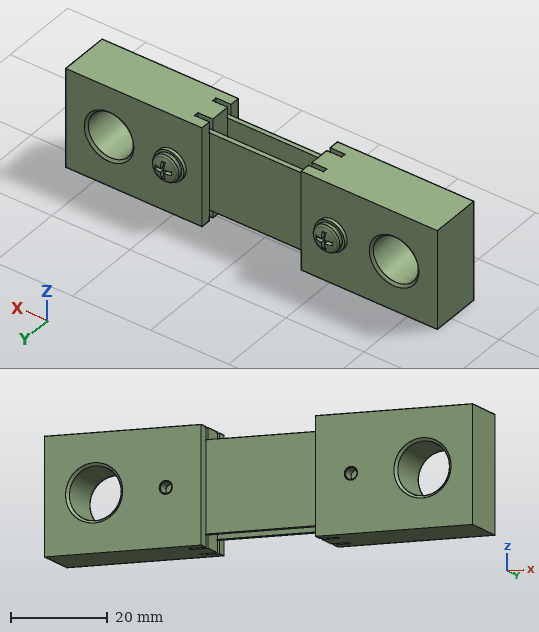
import cadquery as cq

overall_length = 95.25
block_length = 34.925
block_depth = 12.7
block_height = 25.4

terminal_hole_diameter = 11.5
terminal_hole_chamfer = 0.6
terminal_hole_from_outer_end = 11.1

strip_thickness = 1.19
strip_height = 19.84
strip_insertion = 3.81
strip_pitch = block_depth / 2

screw_from_inner_end = 7.9
screw_diameter = 2.5
screw_hole_chamfer = 0.2
screw_tip_recess = 3.2
washer_diameter = 7.75
washer_thickness = 0.87

head_diameter = 6.82
head_underside_diameter = 6.6
head_lower_bevel_top = 0.47
head_cylinder_top = 1.03
dome_base_diameter = 6.0
dome_base_height = 1.43
dome_apex_height = 2.34

cross_width = 0.86
cross_length = 4.2
cross_depth = 1.2

gap = overall_length - 2 * block_length
block_center_x = (gap + block_length) / 2
terminal_hole_x = overall_length / 2 - terminal_hole_from_outer_end
screw_x = gap / 2 + screw_from_inner_end
strip_length = gap + 2 * strip_insertion
front_y = -block_depth / 2
back_y = block_depth / 2
screw_tip_y = front_y + screw_tip_recess
head_seat_y = back_y + washer_thickness
head_apex_y = head_seat_y + dome_apex_height
sides = (-1, 1)


def cylinder_along_y(x, diameter, start_y, end_y):
    """Cylinder on the mid-height line at x, running from start_y to end_y."""
    circle = cq.Workplane("XZ", origin=(x, start_y, 0)).circle(diameter / 2)
    return circle.extrude(start_y - end_y)


def make_strip(side):
    """Flat resistor strip bridging the two blocks; side picks the front or back one."""
    strip = cq.Workplane("XY").box(strip_length, strip_thickness, strip_height)
    return strip.translate((0, side * strip_pitch / 2, 0))


def make_chamfered_hole(x, diameter, chamfer):
    """Cutter for a through hole at x, flared at both faces of the block."""
    radius = diameter / 2
    mouth_radius = radius + chamfer
    profile = (
        cq.Workplane("XY")
        .moveTo(0, front_y)
        .lineTo(mouth_radius, front_y)
        .lineTo(radius, front_y + chamfer)
        .lineTo(radius, back_y - chamfer)
        .lineTo(mouth_radius, back_y)
        .lineTo(0, back_y)
        .close()
    )
    cutter = profile.revolve(360, (0, 0, 0), (0, 1, 0))
    return cutter.translate((x, 0, 0))


def make_block(side):
    """Terminal block with its terminal hole, screw hole and full-height strip slots."""
    block = cq.Workplane("XY").box(block_length, block_depth, block_height)
    block = block.translate((side * block_center_x, 0, 0))
    block = block.cut(
        make_chamfered_hole(side * terminal_hole_x, terminal_hole_diameter, terminal_hole_chamfer)
    )
    block = block.cut(make_chamfered_hole(side * screw_x, screw_diameter, screw_hole_chamfer))
    for strip_side in sides:
        slot = cq.Workplane("XY").box(strip_length, strip_thickness, block_height)
        block = block.cut(slot.translate((0, strip_side * strip_pitch / 2, 0)))
    return block


def make_washer(side):
    """Flat washer between the back of the block and the screw head."""
    disc = cylinder_along_y(side * screw_x, washer_diameter, back_y, head_seat_y)
    return disc.cut(cylinder_along_y(side * screw_x, screw_diameter, back_y, head_seat_y))


def make_screw(side):
    """Domed pan-head screw with a cross recess, its shank ending short of the front face."""
    shank_radius = screw_diameter / 2
    head_radius = head_diameter / 2
    underside_radius = head_underside_diameter / 2
    dome_base_radius = dome_base_diameter / 2
    dome_height = dome_apex_height - dome_base_height
    dome_radius = (dome_base_radius**2 + dome_height**2) / (2 * dome_height)
    dome_mid_x = dome_base_radius / 2
    dome_mid_y = head_apex_y - dome_radius + (dome_radius**2 - dome_mid_x**2) ** 0.5

    profile = (
        cq.Workplane("XY")
        .moveTo(0, screw_tip_y)
        .lineTo(shank_radius, screw_tip_y)
        .lineTo(shank_radius, head_seat_y)
        .lineTo(underside_radius, head_seat_y)
        .lineTo(head_radius, head_seat_y + head_lower_bevel_top)
        .lineTo(head_radius, head_seat_y + head_cylinder_top)
        .lineTo(dome_base_radius, head_seat_y + dome_base_height)
        .threePointArc((dome_mid_x, dome_mid_y), (0, head_apex_y))
        .close()
    )
    screw = profile.revolve(360, (0, 0, 0), (0, 1, 0))

    recess_mid_y = head_apex_y - cross_depth / 2
    for arm_x, arm_z in ((cross_length, cross_width), (cross_width, cross_length)):
        arm = cq.Workplane("XY").box(arm_x, cross_depth, arm_z)
        screw = screw.cut(arm.translate((0, recess_mid_y, 0)))
    return screw.translate((side * screw_x, 0, 0))


bodies = []
for make_body in (make_block, make_strip, make_washer, make_screw):
    for side in sides:
        bodies.append(make_body(side).val())

result = cq.Compound.makeCompound(bodies)